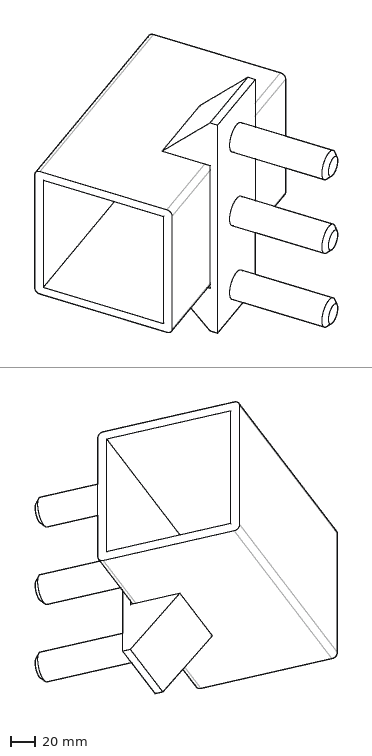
import cadquery as cq

tube_side = 127.2
tube_length = 210.0
tube_wall = 8.0
tube_corner_radius = 5.0

plate_thickness = 7.0
plate_width = 70.0
plate_height = 216.0

pin_diameter = 25.5
pin_length = 89.5
pin_chamfer = 4.0
pin_pitch = 76.5
middle_pin_z = -4.7

tube_half = tube_side / 2
plate_outer_x = tube_half + plate_thickness
gusset_leg = (plate_height - tube_side) / 2


def make_tube():
    bore_side = tube_side - 2 * tube_wall
    outer = cq.Workplane("XY").box(tube_side, tube_length, tube_side)
    outer = outer.edges("|Y").fillet(tube_corner_radius)
    bore = cq.Workplane("XY").box(bore_side, tube_length, bore_side)
    return outer.cut(bore)


def make_plate():
    plate_center_x = tube_half + plate_thickness / 2
    plate = cq.Workplane("XY").box(plate_thickness, plate_width, plate_height)
    return plate.translate((plate_center_x, 0, 0))


def make_gusset(side):
    """Triangular block between tube and plate; side is +1 above, -1 below."""
    return (
        cq.Workplane("XZ")
        .moveTo(tube_half - gusset_leg, side * tube_half)
        .lineTo(tube_half, side * tube_half)
        .lineTo(tube_half, side * (tube_half + gusset_leg))
        .close()
        .extrude(plate_width / 2, both=True)
    )


def make_pin(z):
    return (
        cq.Workplane("YZ", origin=(plate_outer_x, 0, z))
        .circle(pin_diameter / 2)
        .extrude(pin_length)
        .faces(">X")
        .chamfer(pin_chamfer)
    )


result = make_tube().union(make_plate())
for side in (1, -1):
    result = result.union(make_gusset(side))
for step in (-1, 0, 1):
    result = result.union(make_pin(middle_pin_z + step * pin_pitch))